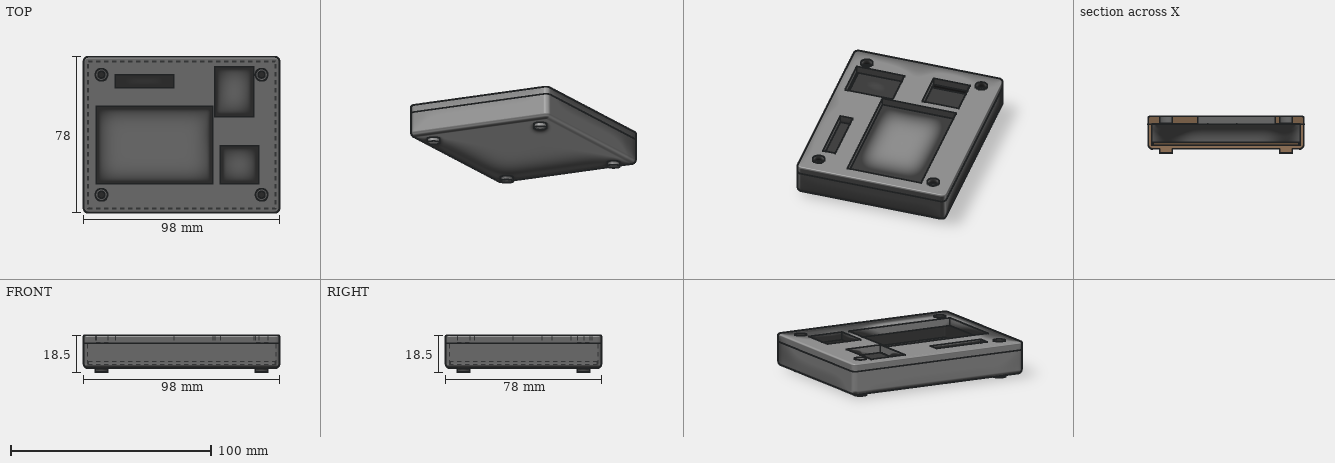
import cadquery as cq
case_length = 98.0
case_width = 78.0
foot_height = 2.0
case_height = 16.5
cover_height = 4.0
corner_radius = 2.5
bottom_fillet = 2.5
top_fillet = 1.0

wall = 2.0
floor_thickness = 2.0
inner_radius = corner_radius - wall

screw_spacing_x = 80.0
screw_spacing_y = 60.0
foot_diameter = 6.4
screw_hole_diameter = 3.4
counterbore_diameter = 6.1
counterbore_depth = 3.4

display_window = (-13.5, -5.2, 58.2, 38.6)
button_window = (29.0, -15.0, 19.1, 19.1)
port_window = (26.25, 21.5, 19.5, 25.0)
slot_window = (-18.5, 26.75, 29.0, 6.5)

board_thickness = 1.6
board_clearance = 0.5

base_bottom = foot_height
floor_top = base_bottom + floor_thickness
board_top = floor_top + board_thickness
case_top = foot_height + case_height
split_level = case_top - cover_height


def rounded_block(length, width, radius, bottom, top):
    """Block centred on the Z axis, with rounded vertical corners."""
    block = cq.Workplane("XY").workplane(offset=bottom).rect(length, width).extrude(top - bottom)
    return block.edges("|Z").fillet(radius)


def window_block(window, bottom, top):
    """Sharp-cornered block that fills a window outline between two levels."""
    center_x, center_y, length, width = window
    sketch = cq.Workplane("XY").workplane(offset=bottom).center(center_x, center_y)
    return sketch.rect(length, width).extrude(top - bottom)


def screw_points(level):
    """Workplane at a level with the four foot and screw centres selected."""
    plane = cq.Workplane("XY").workplane(offset=level)
    return plane.rect(screw_spacing_x, screw_spacing_y, forConstruction=True).vertices()


def make_base():
    """Open tray with a rounded bottom edge and four round feet."""
    tray = rounded_block(case_length, case_width, corner_radius, base_bottom, split_level)
    tray = tray.faces("<Z").edges().fillet(bottom_fillet)
    cavity = rounded_block(
        case_length - 2 * wall, case_width - 2 * wall, inner_radius, floor_top, split_level
    )
    feet = screw_points(0).circle(foot_diameter / 2).extrude(foot_height)
    return tray.cut(cavity).union(feet)


def make_cover():
    """Flat lid with four windows and four counterbored screw holes."""
    lid = rounded_block(case_length, case_width, corner_radius, split_level, case_top)
    lid = lid.faces(">Z").edges().fillet(top_fillet)
    for window in (display_window, button_window, port_window, slot_window):
        lid = lid.cut(window_block(window, split_level, case_top))
    holes = screw_points(split_level).circle(screw_hole_diameter / 2).extrude(cover_height)
    counterbores = screw_points(case_top).circle(counterbore_diameter / 2).extrude(-counterbore_depth)
    return lid.cut(holes).cut(counterbores)


def make_board():
    """Plain circuit board lying on the tray floor, just clear of the walls."""
    inset = wall + board_clearance
    return rounded_block(
        case_length - 2 * inset, case_width - 2 * inset, inner_radius, floor_top, board_top
    )


base = make_base()
cover = make_cover()
board = make_board()

result = cq.Compound.makeCompound([base.val(), cover.val(), board.val()])